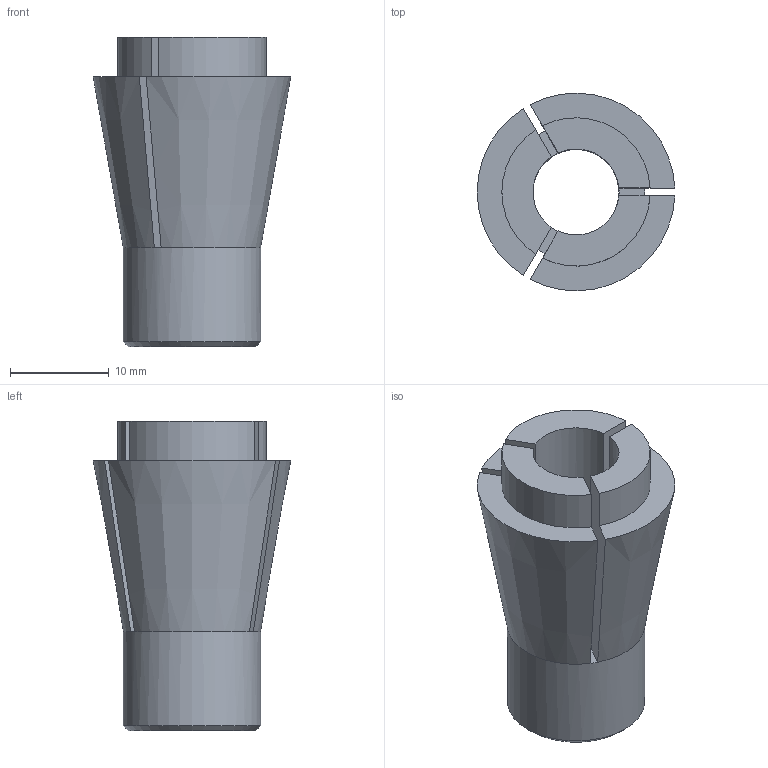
import cadquery as cq

shank_diameter = 13.9
shank_length = 10.0
shank_chamfer = 0.5

taper_top_diameter = 20.0
taper_length = 17.3

collar_diameter = 15.0
collar_length = 4.0

bore_diameter = 8.7

slot_count = 3
slot_width = 0.8

taper_top_z = shank_length + taper_length
total_length = taper_top_z + collar_length


def make_body():
    """Revolve the outer profile of shank, taper and collar about Z."""
    shank_radius = shank_diameter / 2
    collar_radius = collar_diameter / 2
    return (
        cq.Workplane("XZ")
        .moveTo(0, 0)
        .lineTo(shank_radius - shank_chamfer, 0)
        .lineTo(shank_radius, shank_chamfer)
        .lineTo(shank_radius, shank_length)
        .lineTo(taper_top_diameter / 2, taper_top_z)
        .lineTo(collar_radius, taper_top_z)
        .lineTo(collar_radius, total_length)
        .lineTo(0, total_length)
        .close()
        .revolve(360, (0, 0, 0), (0, 1, 0))
    )


def make_bore():
    """Cylinder that opens the body from end to end."""
    return cq.Workplane("XY").circle(bore_diameter / 2).extrude(total_length)


def make_slot(angle):
    """Radial slot from the axis outward, with its floor at the top of the shank."""
    slot_reach = taper_top_diameter
    slot_depth = total_length - shank_length
    return (
        cq.Workplane("XY")
        .box(slot_reach, slot_width, slot_depth, centered=(False, True, False))
        .translate((0, 0, shank_length))
        .rotate((0, 0, 0), (0, 0, 1), angle)
    )


result = make_body().cut(make_bore())
for slot_index in range(slot_count):
    result = result.cut(make_slot(slot_index * 360 / slot_count))